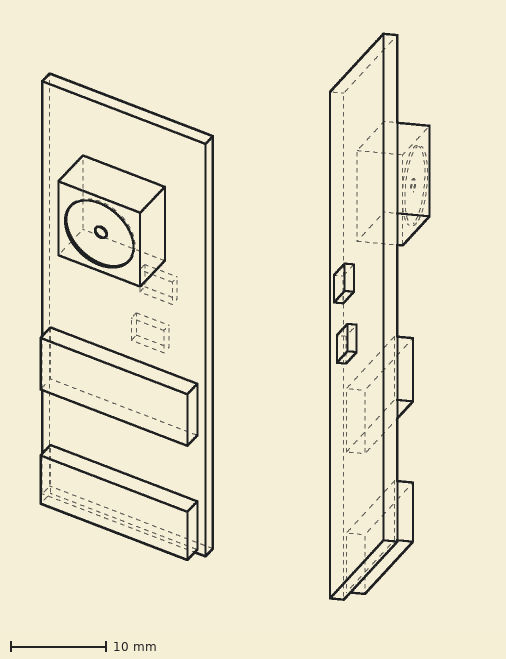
import cadquery as cq

board_width = 20.0
board_thickness = 1.5
board_height = 56.0

camera_size = 10.0
camera_depth = 5.0
camera_bottom = 38.0
lens_diameter = 8.4
lens_depth = 0.3
aperture_diameter = 1.4
aperture_depth = 0.1

connector_width = 18.0
connector_depth = 2.0
lower_connector_bottom = 0.5
lower_connector_height = 6.55
upper_connector_bottom = 16.0
upper_connector_height = 7.0

chip_width = 4.0
chip_depth = 1.0
chip_height = 3.0
lower_chip_left = 0.0
lower_chip_bottom = 24.0
upper_chip_left = camera_size / 2 - chip_width
upper_chip_bottom = 31.0


def block(left, front, bottom, width, depth, height):
    """Rectangular block placed by its left, front, bottom corner."""
    corner = (left, front, bottom)
    return cq.Workplane("XY").box(width, depth, height, centered=False).translate(corner)


def front_block(width, depth, height, bottom):
    """Block centred on X that stands out from the front of the board."""
    return block(-width / 2, -depth, bottom, width, depth, height)


def round_pocket(diameter, depth, front, center_z):
    """Cutting cylinder that runs from the plane Y = front into the part."""
    plane = cq.Workplane("XZ", origin=(0, front, center_z))
    return plane.circle(diameter / 2).extrude(-depth)


def camera():
    """Square housing with a shallow lens recess and a small aperture in its floor."""
    center_z = camera_bottom + camera_size / 2
    lens_floor = -camera_depth + lens_depth
    housing = front_block(camera_size, camera_depth, camera_size, camera_bottom)
    housing = housing.cut(round_pocket(lens_diameter, lens_depth, -camera_depth, center_z))
    return housing.cut(round_pocket(aperture_diameter, aperture_depth, lens_floor, center_z))


result = block(-board_width / 2, 0, 0, board_width, board_thickness, board_height)
result = result.union(camera())

for bottom, height in (
    (lower_connector_bottom, lower_connector_height),
    (upper_connector_bottom, upper_connector_height),
):
    result = result.union(front_block(connector_width, connector_depth, height, bottom))

for left, bottom in (
    (lower_chip_left, lower_chip_bottom),
    (upper_chip_left, upper_chip_bottom),
):
    chip = block(left, board_thickness, bottom, chip_width, chip_depth, chip_height)
    result = result.union(chip)